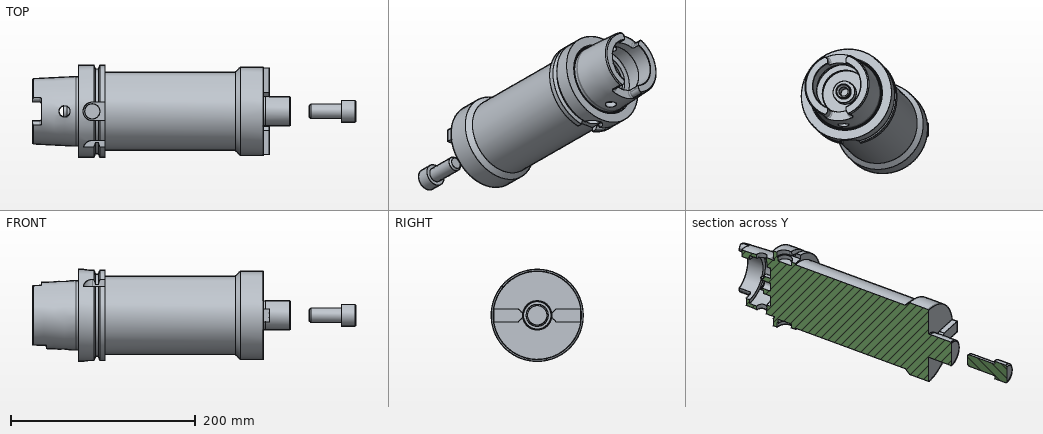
import cadquery as cq
import math


shank_length = 50
shank_base_dia = 76
taper_ratio = 1 / 10
shank_edge_chamfer = 1.2
relief_length = 3.4
relief_entry = 1
relief_dia = 75.3
face_relief_dia = 80
face_relief_depth = 1.2

bore_dia = 53
mouth_dia = 53.8
bore_length = 20
recess_dia = 63
recess_floor_x = -8
pocket_dia = 50
pocket_floor_x = -4
connector_collar_dia = 24
connector_collar_x = -12.6
connector_nose_dia = 16.17
connector_nose_x = -16.3
connector_hole_dia = 10
connector_hole_chamfer = 2.2

drive_slot_width = 20
drive_slot_flare = 5
drive_slot_corner = 1.5
upper_slot_depth = 9.8
lower_slot_depth = 15.2
cross_hole_dia = 12
cross_hole_x = -15

flange_dia = 100
flange_width = 29
groove_x = 20
groove_floor_dia = 92
groove_floor_width = 3
groove_top_width = 6.5
gripper_slot_width = 20
gripper_slot_x = 15
gripper_slot_height = 44
chip_hole_dia = 16.5
chip_hole_depth = 5
notch_offset = 31.5

tube_dia = 85
collar_dia = 96
face_x = 200.5
collar_length = 25
collar_edge_length = 1.2
collar_edge_drop = 0.3

spigot_dia = 31.75
spigot_neck_dia = 31.35
spigot_neck_length = 2
spigot_length = 29.5
spigot_chamfer = 1
key_width = 14
key_height = 6.5
key_inner_y = 16
key_outer_y = 47
key_chamfer = 4.5

screw_tip_x = 250
screw_length = 35
screw_dia = 16
screw_tip_chamfer = 2
head_dia = 24
head_height = 16
head_chamfer = 1.5


def turned(points):
    """Revolve an outline of (x, radius) points about the X axis."""
    return cq.Workplane("XY").polyline(points).close().revolve(360, (0, 0, 0), (1, 0, 0))


def taper_radius(x):
    return shank_base_dia / 2 + x * taper_ratio / 2


def upright_cylinder(x, y, dia, z_low, z_high):
    return cq.Workplane("XY", origin=(x, y, z_low)).circle(dia / 2).extrude(z_high - z_low)


def box(x_range, y_range, z_range):
    lows, highs = zip(x_range, y_range, z_range)
    sizes = [high - low for low, high in zip(lows, highs)]
    return cq.Workplane("XY").box(*sizes, centered=False).translate(lows)


def outer_body():
    shank_end_x = -shank_length
    chamfer_x = shank_end_x + shank_edge_chamfer
    lip = flange_dia / 2
    collar_start_x = face_x - collar_length
    cone_length = (collar_dia - tube_dia) / 2
    return turned([
        (shank_end_x, 0),
        (shank_end_x, taper_radius(shank_end_x) - shank_edge_chamfer),
        (chamfer_x, taper_radius(chamfer_x)),
        (-relief_length, taper_radius(-relief_length)),
        (relief_entry - relief_length, relief_dia / 2),
        (face_relief_depth, relief_dia / 2),
        (face_relief_depth, face_relief_dia / 2 - face_relief_depth),
        (0, face_relief_dia / 2),
        (0, lip),
        (groove_x - groove_top_width / 2, lip),
        (groove_x - groove_floor_width / 2, groove_floor_dia / 2),
        (groove_x + groove_floor_width / 2, groove_floor_dia / 2),
        (groove_x + groove_top_width / 2, lip),
        (flange_width, lip),
        (flange_width, tube_dia / 2),
        (collar_start_x - cone_length, tube_dia / 2),
        (collar_start_x, collar_dia / 2),
        (face_x - collar_edge_length, collar_dia / 2),
        (face_x, collar_dia / 2 - collar_edge_drop),
        (face_x, spigot_neck_dia / 2),
        (face_x + spigot_neck_length, spigot_neck_dia / 2),
        (face_x + spigot_neck_length, spigot_dia / 2),
        (face_x + spigot_length - spigot_chamfer, spigot_dia / 2),
        (face_x + spigot_length, spigot_dia / 2 - spigot_chamfer),
        (face_x + spigot_length, 0),
    ])


def shank_bore():
    """Undercut bore of the shank, leaving the coolant connector standing in its middle."""
    mouth_x = -shank_length
    mouth_chamfer = (mouth_dia - bore_dia) / 2
    recess_start_x = mouth_x + bore_length
    nose_radius = connector_nose_dia / 2
    hole_radius = connector_hole_dia / 2
    return turned([
        (mouth_x, 0),
        (mouth_x, mouth_dia / 2),
        (mouth_x + mouth_chamfer, bore_dia / 2),
        (recess_start_x, bore_dia / 2),
        (recess_start_x, recess_dia / 2),
        (recess_floor_x, recess_dia / 2),
        (recess_floor_x, pocket_dia / 2),
        (pocket_floor_x, pocket_dia / 2),
        (pocket_floor_x, connector_collar_dia / 2),
        (connector_collar_x, connector_collar_dia / 2),
        (connector_collar_x, nose_radius),
        (connector_nose_x, nose_radius),
        (connector_nose_x, hole_radius + connector_hole_chamfer),
        (connector_nose_x + connector_hole_chamfer, hole_radius),
        (pocket_floor_x, hole_radius),
        (pocket_floor_x, 0),
    ])


def drive_slot(depth):
    """Slot in the upper wall of the shank, its long outer edges flared by a rounding."""
    half_width = drive_slot_width / 2
    rim = taper_radius(-shank_length)
    flare_end = half_width + drive_slot_flare
    rim_z = math.sqrt(rim**2 - flare_end**2)
    flare_z = rim_z - drive_slot_flare
    top_z = shank_base_dia / 2
    half_diagonal = drive_slot_flare * (1 - math.sqrt(0.5))
    slot = (
        cq.Workplane("YZ", origin=(-shank_length, 0, 0))
        .moveTo(-half_width, 0)
        .lineTo(-half_width, flare_z)
        .threePointArc((-half_width - half_diagonal, rim_z - half_diagonal), (-flare_end, rim_z))
        .lineTo(-flare_end, top_z)
        .lineTo(flare_end, top_z)
        .lineTo(flare_end, rim_z)
        .threePointArc((half_width + half_diagonal, rim_z - half_diagonal), (half_width, flare_z))
        .lineTo(half_width, 0)
        .close()
        .extrude(depth)
    )
    side_edges = slot.faces(">X").edges("not |Y")
    return side_edges.fillet(drive_slot_corner)


def gripper_slot():
    """Round-ended slot across the top of the flange, with a blind chip hole in its floor."""
    half_width = gripper_slot_width / 2
    top_z = flange_dia / 2
    slot = box((gripper_slot_x, flange_width), (-half_width, half_width), (gripper_slot_height, top_z))
    slot = slot.union(upright_cylinder(gripper_slot_x, 0, gripper_slot_width, gripper_slot_height, top_z))
    chip_hole_floor = gripper_slot_height - chip_hole_depth
    return slot.union(upright_cylinder(gripper_slot_x, 0, chip_hole_dia, chip_hole_floor, top_z))


def orientation_notch():
    """Stepped notch at 45 degrees on the flange, with a rounded end."""
    rim = flange_dia / 2
    notch = box((gripper_slot_x, flange_width), (-rim, -notch_offset), (notch_offset, rim))
    end_y = -notch_offset - gripper_slot_width / 2
    return notch.union(upright_cylinder(gripper_slot_x, end_y, gripper_slot_width, notch_offset, rim))


def drive_key():
    """Key on the collar face at the -Y side, its inner end chamfered on both flanks."""
    half_width = key_width / 2
    key = box((face_x, face_x + key_height), (-key_outer_y, -key_inner_y), (-half_width, half_width))
    return key.faces(">Y").edges("|X").chamfer(key_chamfer)


def half_turn(shape):
    return shape.rotate((0, 0, 0), (1, 0, 0), 180)


def make_holder():
    holder = outer_body().cut(shank_bore())
    holder = holder.cut(drive_slot(upper_slot_depth)).cut(half_turn(drive_slot(lower_slot_depth)))
    reach = shank_base_dia / 2
    inner_z = connector_collar_dia / 2
    cross_hole = upright_cylinder(cross_hole_x, 0, cross_hole_dia, inner_z, reach)
    holder = holder.cut(cross_hole).cut(half_turn(cross_hole))
    holder = holder.cut(gripper_slot()).cut(half_turn(gripper_slot())).cut(orientation_notch())
    return holder.union(drive_key()).union(half_turn(drive_key()))


def make_screw():
    head_x = screw_tip_x + screw_length
    end_x = head_x + head_height
    return turned([
        (screw_tip_x, 0),
        (screw_tip_x, screw_dia / 2 - screw_tip_chamfer),
        (screw_tip_x + screw_tip_chamfer, screw_dia / 2),
        (head_x, screw_dia / 2),
        (head_x, head_dia / 2),
        (end_x - head_chamfer, head_dia / 2),
        (end_x, head_dia / 2 - head_chamfer),
        (end_x, 0),
    ])


holder = make_holder()
screw = make_screw()
result = cq.Compound.makeCompound([holder.val(), screw.val()])